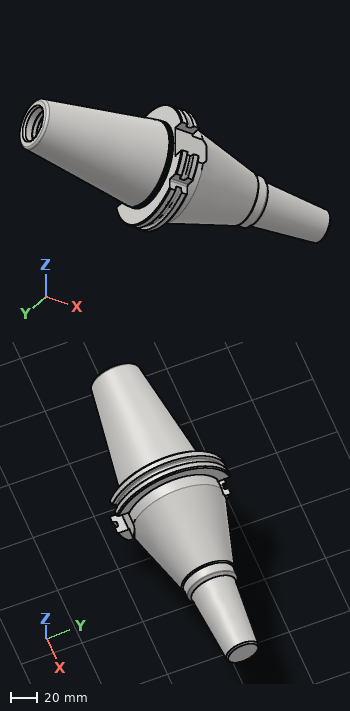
import cadquery as cq
import math

overall_length = 261.5
gauge_plane = 101.8
flange_start = 105.0
flange_end = 120.9
body_end = 130.0
cone_end = 190.0
collar_end = 198.5

gauge_radius = 35.0
taper_on_diameter = 7 / 24
taper_slope = taper_on_diameter / 2
taper_end_radius = gauge_radius - gauge_plane * taper_slope
taper_end_fillet = 2.0
relief_depth = 1.0
relief_flank = 0.8
relief_start = gauge_plane - relief_flank
relief_end = 103.9

flange_radius = 48.7
flange_front_chamfer = 0.8
flange_back_chamfer = 1.0
groove_mouth_width = 5.5
groove_floor_width = 4.5
groove_depth = 3.1
groove_floor_fillet = 0.8

body_radius = 39.0
cone_end_radius = 22.0
collar_radius = 21.0
collar_step = 1.0
collar_edge_fillet = 0.8
nose_start_radius = 18.3
nose_end_radius = 13.5
nose_chamfer = 1.3

slot_width = 25.6
slot_end = 133.2
front_slot_floor = 37.5
back_slot_floor = 35.3

notch_offset = 29.8
notch_fillet = 1.3

hole_mouth_radius = 14.6
entry_radius = 13.5
entry_start = 2.0
pilot_radius = 12.8
pilot_start = 7.8
neck_radius = 12.0
neck_start = 11.2
thread_radius = 10.2
thread_start = neck_start + neck_radius - thread_radius
thread_end = 52.3
drill_point_angle = 118.0


def revolve_about_x(points):
    """Revolve an (x, radius) outline, sketched on the -Y side, about the X axis."""
    sketch_points = [(x, -radius) for x, radius in points]
    return cq.Workplane("XY").polyline(sketch_points).close().revolve(360, (0, 0, 0), (1, 0, 0))


def make_holder():
    relief_radius = gauge_radius - relief_depth
    outline = [
        (0, 0),
        (0, taper_end_radius),
        (relief_start, taper_end_radius + relief_start * taper_slope),
        (relief_start + relief_flank, relief_radius),
        (relief_end - relief_flank, relief_radius),
        (relief_end, gauge_radius),
        (flange_start, gauge_radius),
        (flange_start, flange_radius - flange_front_chamfer),
        (flange_start + flange_front_chamfer, flange_radius),
        (flange_end - flange_back_chamfer, flange_radius),
        (flange_end, flange_radius - flange_back_chamfer),
        (flange_end, body_radius),
        (body_end, body_radius),
        (cone_end, cone_end_radius),
        (cone_end + collar_step, collar_radius),
        (collar_end, collar_radius),
        (collar_end + collar_radius - nose_start_radius, nose_start_radius),
        (overall_length - nose_chamfer, nose_end_radius),
        (overall_length, nose_end_radius - nose_chamfer),
        (overall_length, 0),
    ]
    holder = revolve_about_x(outline).faces("<X").edges().fillet(taper_end_fillet)
    collar_edge = cq.selectors.NearestToPointSelector((collar_end, 0, 0))
    return holder.edges(collar_edge).fillet(collar_edge_fillet)


def make_gripper_groove():
    middle = (flange_start + flange_end) / 2
    floor_radius = flange_radius - groove_depth
    outline = [
        (middle - groove_mouth_width / 2, flange_radius),
        (middle - groove_floor_width / 2, floor_radius),
        (middle + groove_floor_width / 2, floor_radius),
        (middle + groove_mouth_width / 2, flange_radius),
    ]
    ring = revolve_about_x(outline)
    return ring.edges(cq.selectors.RadiusNthSelector(0)).fillet(groove_floor_fillet)


def make_drawbar_hole():
    point_depth = thread_radius / math.tan(math.radians(drill_point_angle / 2))
    outline = [
        (0, 0),
        (0, hole_mouth_radius),
        (entry_start, entry_radius),
        (pilot_start, entry_radius),
        (pilot_start, pilot_radius),
        (neck_start, pilot_radius),
        (neck_start, neck_radius),
        (thread_start, thread_radius),
        (thread_end, thread_radius),
        (thread_end + point_depth, 0),
    ]
    return revolve_about_x(outline)


def make_drive_slot(floor_distance, side):
    """Slot and body flat opening toward +Y (side = 1) or -Y (side = -1)."""
    depth = flange_radius - floor_distance
    middle_y = side * (floor_distance + depth / 2)
    centered = (False, True, True)
    slot = cq.Workplane("XY").box(slot_end - flange_start, depth, slot_width, centered=centered)
    flat = cq.Workplane("XY").box(slot_end - flange_end, depth, 2 * body_radius, centered=centered)
    return slot.translate((flange_start, middle_y, 0)).union(flat.translate((flange_end, middle_y, 0)))


def make_orientation_notch():
    size = flange_radius - notch_offset
    block = cq.Workplane("XY").box(flange_end - flange_start, size, size, centered=False)
    block = block.edges("|X and >Y and >Z").fillet(notch_fillet)
    return block.translate((flange_start, -flange_radius, -flange_radius))


result = (
    make_holder()
    .cut(make_gripper_groove())
    .cut(make_drawbar_hole())
    .cut(make_drive_slot(front_slot_floor, -1))
    .cut(make_drive_slot(back_slot_floor, 1))
    .cut(make_orientation_notch())
)